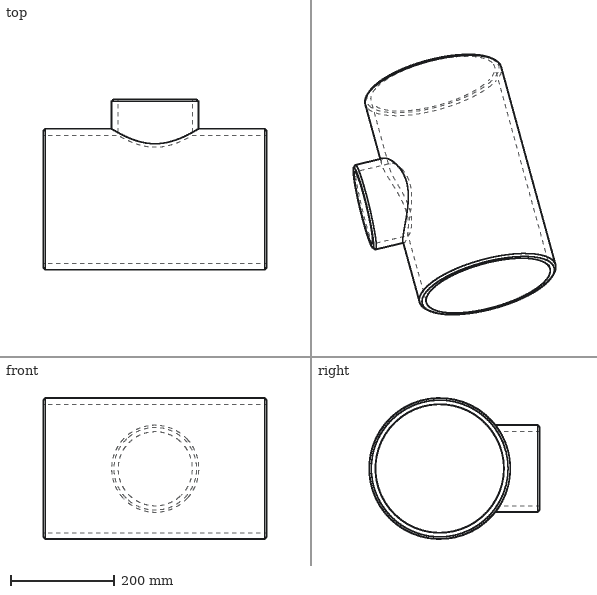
import cadquery as cq

run_length = 432.0
run_diameter = 273.0
branch_diameter = 168.5
branch_reach = 193.5
wall = 12.5
bevel = 4.5

run_plane = cq.Plane(origin=(-run_length / 2, 0, 0), xDir=(0, 1, 0), normal=(1, 0, 0))
branch_plane = cq.Plane(origin=(0, 0, 0), xDir=(1, 0, 0), normal=(0, 1, 0))


def cylinder(plane, diameter, length):
    """Solid cylinder starting on the plane and following its normal."""
    return cq.Workplane(plane).circle(diameter / 2).extrude(length)


run = cylinder(run_plane, run_diameter, run_length).faces("<X or >X").chamfer(bevel)
branch = cylinder(branch_plane, branch_diameter, branch_reach).faces(">Y").chamfer(bevel)

run_bore = cylinder(run_plane, run_diameter - 2 * wall, run_length)
branch_bore = cylinder(branch_plane, branch_diameter - 2 * wall, branch_reach)

result = run.union(branch).cut(run_bore).cut(branch_bore)